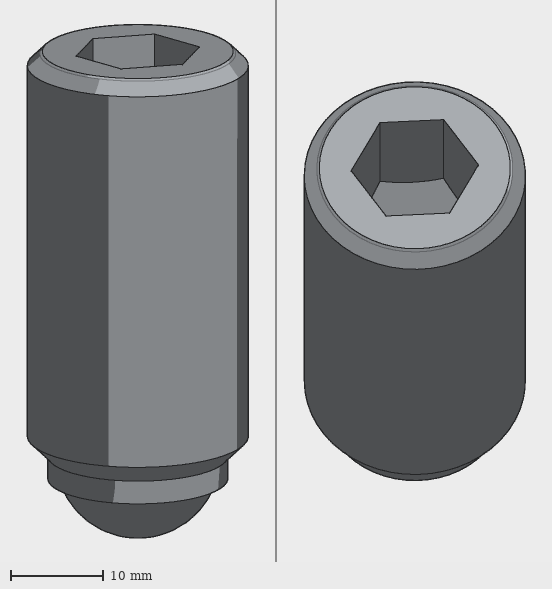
import cadquery as cq
import math

total_height = 54.7
screw_radius = 12.005

top_chamfer = 1.35
edge_break_width = 0.3
edge_break_height = 0.2

collar_radius = 9.8
collar_bottom = 6.4
collar_height = 2.55

socket_across_flats = 12.0
socket_depth = 12.0
socket_tip_angle = 120.0

ball_radius = 8.95

collar_top = collar_bottom + collar_height
taper_top = collar_top + screw_radius - collar_radius
break_radius = screw_radius - top_chamfer
break_bottom = total_height - edge_break_height
chamfer_bottom = break_bottom - top_chamfer
top_radius = break_radius - edge_break_width
socket_across_corners = socket_across_flats / math.cos(math.radians(30))
socket_corner_radius = socket_across_corners / 2
socket_tip_height = socket_corner_radius / math.tan(math.radians(socket_tip_angle / 2))


def make_ball():
    """Full ball resting on Z = 0."""
    return cq.Workplane("XY").sphere(ball_radius).translate((0, 0, ball_radius))


def make_socket_cutter():
    """Hexagonal prism whose corners reach the socket depth, ending in a conical tip."""
    tip_z = total_height - socket_depth - socket_tip_height
    hexagon = (
        cq.Workplane("XY")
        .workplane(offset=tip_z)
        .polygon(6, socket_across_corners)
        .extrude(total_height - tip_z)
    )
    drill = (
        cq.Workplane("XZ")
        .moveTo(0, tip_z)
        .lineTo(socket_corner_radius, total_height - socket_depth)
        .lineTo(socket_corner_radius, total_height)
        .lineTo(0, total_height)
        .close()
        .revolve(360, (0, 0, 0), (0, 1, 0))
    )
    return hexagon.intersect(drill)


def make_screw():
    """Turned screw body with a hexagon socket above and a ball seat below."""
    turned_body = (
        cq.Workplane("XZ")
        .moveTo(0, collar_bottom)
        .lineTo(collar_radius, collar_bottom)
        .lineTo(collar_radius, collar_top)
        .lineTo(screw_radius, taper_top)
        .lineTo(screw_radius, chamfer_bottom)
        .lineTo(break_radius, break_bottom)
        .lineTo(top_radius, total_height)
        .lineTo(0, total_height)
        .close()
        .revolve(360, (0, 0, 0), (0, 1, 0))
    )
    return turned_body.cut(make_socket_cutter()).cut(make_ball()).solids()


screw = make_screw()
ball = make_ball()

result = cq.Compound.makeCompound([screw.val(), ball.val()])